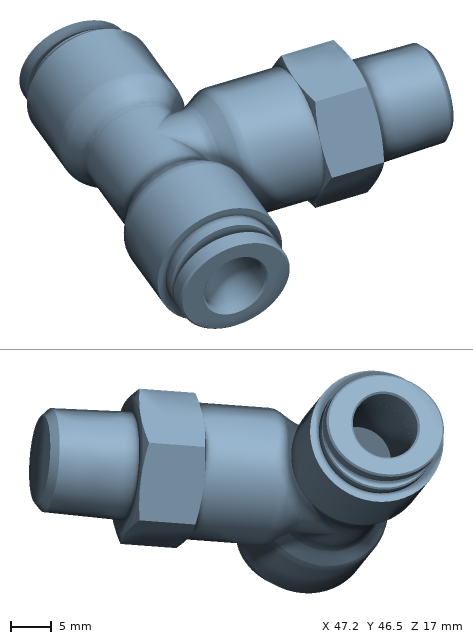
import cadquery as cq
import math


arm_length = 19.0
shell_diameter = 16.9
core_diameter = 13.2
core_end = 6.0
shoulder_start = 9.0
shoulder_round = 2.1

bore_diameter = 8.2
socket_floor = 9.6

collar_diameter = 14.7
collar_end = 20.7
collar_chamfer = 0.2

button_end = 23.6
button_width = 14.85
button_height = 13.1
flange_thickness = 2.05
neck_diameter = 9.6
button_chamfer = 0.25

hex_sides = 6
hex_flats = 17.0
hex_length = 8.02
hex_chamfer_length = 0.45
thread_base_diameter = 13.4
thread_tip_diameter = 12.85
tip_chamfer = 0.95
stem_end = 38.0

hex_corners = hex_flats / math.cos(math.pi / hex_sides)


def along_run(shape, side):
    """Turn a shape built along +Z so that it points along +X or -X."""
    return shape.rotate((0, 0, 0), (0, 1, 0), 90 * side)


def along_branch(shape):
    """Turn a shape built along +Z so that it points along +Y."""
    return shape.rotate((0, 0, 0), (1, 0, 0), -90)


def revolved(profile):
    """Revolve (radius, height) points about the Z axis."""
    return cq.Workplane("XZ").polyline(profile).close().revolve(360, (0, 0, 0), (0, 1, 0))


def make_arm():
    """One arm of the tee: a core cylinder that flares into a wider shell."""
    core_radius = core_diameter / 2
    shell_radius = shell_diameter / 2
    arm = revolved([
        (0, 0),
        (core_radius, 0),
        (core_radius, core_end),
        (shell_radius, shoulder_start),
        (shell_radius, arm_length),
        (0, arm_length),
    ])
    cone_ends = arm.edges("%CIRCLE").edges(">>Z[-2] or >>Z[-3]")
    return cone_ends.fillet(shoulder_round)


def make_socket():
    """Blind tube socket cut into a run arm."""
    depth = arm_length - socket_floor
    return cq.Workplane("XY").workplane(offset=socket_floor).circle(bore_diameter / 2).extrude(depth)


def make_tee_body():
    arm = make_arm()
    socket = make_socket()
    body = along_branch(arm)
    for side in (-1, 1):
        body = body.union(along_run(arm, side))
    for side in (-1, 1):
        body = body.cut(along_run(socket, side))
    return body


def make_collar(side):
    """Ring seated on the end of a run arm."""
    disc = (
        cq.Workplane("XY").workplane(offset=arm_length)
        .circle(collar_diameter / 2)
        .extrude(collar_end - arm_length)
        .faces(">Z").edges().chamfer(collar_chamfer)
    )
    ring = disc.faces(">Z").workplane().hole(bore_diameter)
    return along_run(ring, side)


def make_button(side):
    """Release button: an oval flange on a round neck that meets the collar."""
    flange_start = button_end - flange_thickness
    neck = (
        cq.Workplane("XY").workplane(offset=collar_end)
        .circle(neck_diameter / 2)
        .extrude(flange_start - collar_end)
    )
    flange = (
        cq.Workplane("XY").workplane(offset=flange_start)
        .ellipse(button_height / 2, button_width / 2)
        .extrude(flange_thickness)
    )
    button = neck.union(flange).faces(">Z").workplane().hole(bore_diameter)
    button = button.faces(">Z").edges().chamfer(button_chamfer)
    return along_run(button, side)


def make_stem():
    """Hexagon with chamfered corners, followed by a tapered pipe thread blank."""
    hex_end = arm_length + hex_length
    hexagon = (
        cq.Workplane("XY").workplane(offset=arm_length)
        .polygon(hex_sides, hex_corners)
        .extrude(hex_length)
    )
    corner_radius = hex_corners / 2
    face_radius = shell_diameter / 2
    chamfer_envelope = revolved([
        (0, arm_length),
        (face_radius, arm_length),
        (corner_radius, arm_length + hex_chamfer_length),
        (corner_radius, hex_end - hex_chamfer_length),
        (face_radius, hex_end),
        (0, hex_end),
    ])
    tip_radius = thread_tip_diameter / 2
    thread = revolved([
        (0, hex_end),
        (thread_base_diameter / 2, hex_end),
        (tip_radius, stem_end - tip_chamfer),
        (tip_radius - tip_chamfer, stem_end),
        (0, stem_end),
    ])
    return along_branch(hexagon.intersect(chamfer_envelope).union(thread))


tee_body = make_tee_body()
stem = make_stem()
collars = [make_collar(side) for side in (-1, 1)]
buttons = [make_button(side) for side in (-1, 1)]

result = cq.Compound.makeCompound([
    tee_body.val(),
    stem.val(),
    *[collar.val() for collar in collars],
    *[button.val() for button in buttons],
])